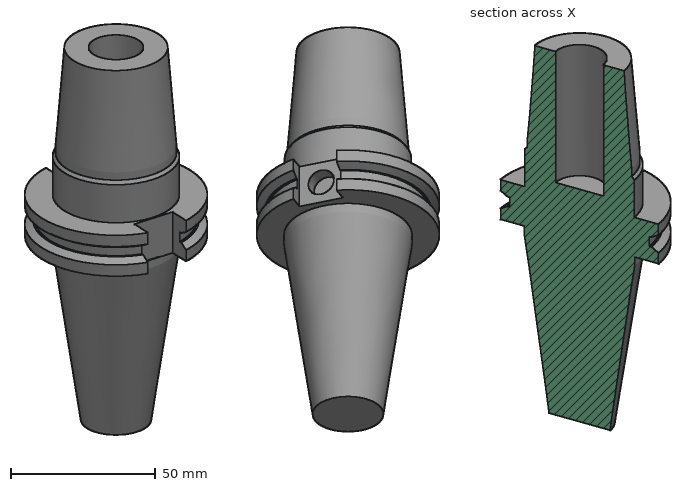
import cadquery as cq

total_height = 144.5

gauge_diameter = 44.5
gauge_height = 68.2
taper_ratio = 7 / 24
shank_end_diameter = gauge_diameter - taper_ratio * gauge_height

flange_diameter = 63.4
flange_thickness = 15.9
neck_length = 3.3
groove_mouth_width = 7.1
groove_floor_width = 3.6
groove_floor_diameter = 56.3
groove_bevel_diameter = 57.8
flange_bottom = gauge_height + neck_length
flange_top = flange_bottom + flange_thickness
flange_middle = flange_bottom + flange_thickness / 2

body_diameter = 44.0
body_length = 14.7
nose_base_diameter = 42.0
nose_tip_diameter = 36.0
nose_band_length = 3.0
body_chamfer_height = 1.3
body_top = flange_top + body_length
band_bottom = body_top + body_chamfer_height
band_top = band_bottom + nose_band_length

bore_diameter = 19.0
bore_depth = 52.0

slot_width = 16.2
left_slot_floor = 25.0
right_slot_floor = 22.5

side_hole_diameter = 9.5
side_hole_depth = 5.3


def make_holder():
    """Revolve the half profile, given as (diameter, height) corners."""
    corners = [
        (0, 0),
        (shank_end_diameter, 0),
        (gauge_diameter, gauge_height),
        (gauge_diameter, flange_bottom),
        (flange_diameter, flange_bottom),
        (flange_diameter, flange_middle - groove_mouth_width / 2),
        (groove_bevel_diameter, flange_middle - groove_floor_width / 2),
        (groove_floor_diameter, flange_middle - groove_floor_width / 2),
        (groove_floor_diameter, flange_middle + groove_floor_width / 2),
        (groove_bevel_diameter, flange_middle + groove_floor_width / 2),
        (flange_diameter, flange_middle + groove_mouth_width / 2),
        (flange_diameter, flange_top),
        (body_diameter, flange_top),
        (body_diameter, body_top),
        (nose_base_diameter, band_bottom),
        (nose_base_diameter, band_top),
        (nose_tip_diameter, total_height),
        (0, total_height),
    ]
    profile = [(diameter / 2, height) for diameter, height in corners]
    return cq.Workplane("XZ").polyline(profile).close().revolve(360, (0, 0), (0, 1))


def make_bore():
    return (
        cq.Workplane("XY")
        .workplane(offset=total_height - bore_depth)
        .circle(bore_diameter / 2)
        .extrude(bore_depth)
    )


def make_slot(side, floor_distance):
    """Rectangular cutter through the flange; side is -1 for -X and +1 for +X."""
    slot_depth = flange_diameter / 2 - floor_distance
    middle_x = side * (floor_distance + slot_depth / 2)
    cutter = cq.Workplane("XY").box(slot_depth, slot_width, flange_thickness)
    return cutter.translate((middle_x, 0, flange_middle))


def make_side_hole():
    return (
        cq.Workplane("YZ", origin=(-left_slot_floor, 0, flange_middle))
        .circle(side_hole_diameter / 2)
        .extrude(side_hole_depth)
    )


result = (
    make_holder()
    .cut(make_bore())
    .cut(make_slot(-1, left_slot_floor))
    .cut(make_slot(1, right_slot_floor))
    .cut(make_side_hole())
)